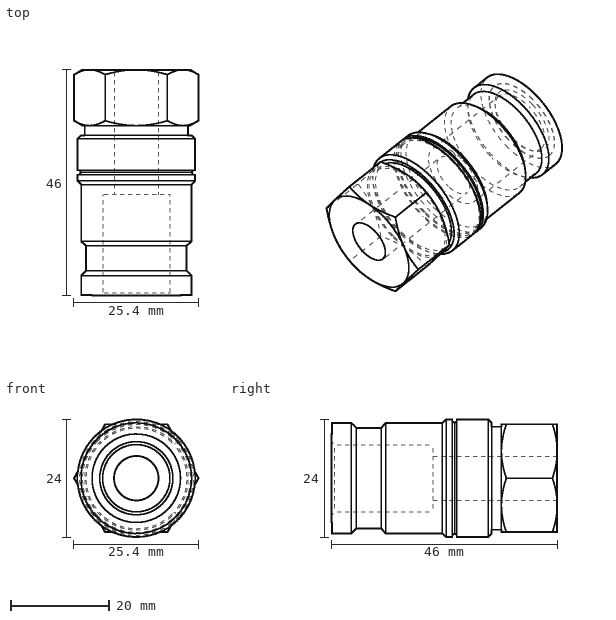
import cadquery as cq
import math

total_length = 46.0
lip_end = 4.1
lip_chamfer_end = 5.1
latch_groove_end = 10.15
sleeve_start = 11.05
sleeve_end = 22.65
flange_start = 23.35
flange_end = 24.65
ring_groove_middle = 25.1
collar_start = 25.55
collar_chamfer_start = 31.92
neck_start = 32.65
hex_start = 34.65

sleeve_radius = 11.25
latch_groove_radius = 10.25
collar_radius = 12.0
ring_groove_radius = 11.25
ring_groove_edge_radius = 11.6
neck_radius = 10.55

hex_across_corners = 25.4
hex_across_flats = hex_across_corners * math.cos(math.radians(30))
hex_chamfer_angle = 30.0

insert_radius = 9.0
insert_projection = 0.1
socket_radius = 6.85
socket_chamfer = 0.6
socket_depth = 20.7
bore_radius = 4.5


def revolve_about_y(points):
    """Revolve a closed (radius, Y) outline around the Y axis."""
    return cq.Workplane("XY").polyline(points).close().revolve(360, (0, 0, 0), (0, 1, 0))


def make_turned_body():
    return revolve_about_y([
        (0, 0),
        (insert_radius, 0),
        (insert_radius, insert_projection),
        (sleeve_radius, insert_projection),
        (sleeve_radius, lip_end),
        (latch_groove_radius, lip_chamfer_end),
        (latch_groove_radius, latch_groove_end),
        (sleeve_radius, sleeve_start),
        (sleeve_radius, sleeve_end),
        (collar_radius, flange_start),
        (collar_radius, flange_end),
        (ring_groove_edge_radius, flange_end),
        (ring_groove_radius, ring_groove_middle),
        (ring_groove_edge_radius, collar_start),
        (collar_radius, collar_start),
        (collar_radius, collar_chamfer_start),
        (sleeve_radius, neck_start),
        (neck_radius, neck_start),
        (neck_radius, hex_start),
        (0, hex_start),
    ])


def make_hexagon():
    """Hexagon with corners on X, both ends turned to a cone."""
    hex_length = total_length - hex_start
    prism = (
        cq.Workplane("XZ", origin=(0, total_length, 0))
        .polygon(6, hex_across_corners)
        .extrude(hex_length)
    )
    corner_radius = hex_across_corners / 2
    face_radius = hex_across_flats / 2
    chamfer_length = (corner_radius - face_radius) * math.tan(math.radians(hex_chamfer_angle))
    envelope = revolve_about_y([
        (0, hex_start),
        (face_radius, hex_start),
        (corner_radius, hex_start + chamfer_length),
        (corner_radius, total_length - chamfer_length),
        (face_radius, total_length),
        (0, total_length),
    ])
    return prism.intersect(envelope)


def make_bores():
    """Chamfered socket in the insert, stepping down to a through bore."""
    return revolve_about_y([
        (0, 0),
        (socket_radius + socket_chamfer, 0),
        (socket_radius, socket_chamfer),
        (socket_radius, socket_depth),
        (bore_radius, socket_depth),
        (bore_radius, total_length),
        (0, total_length),
    ])


result = make_turned_body().union(make_hexagon()).cut(make_bores())